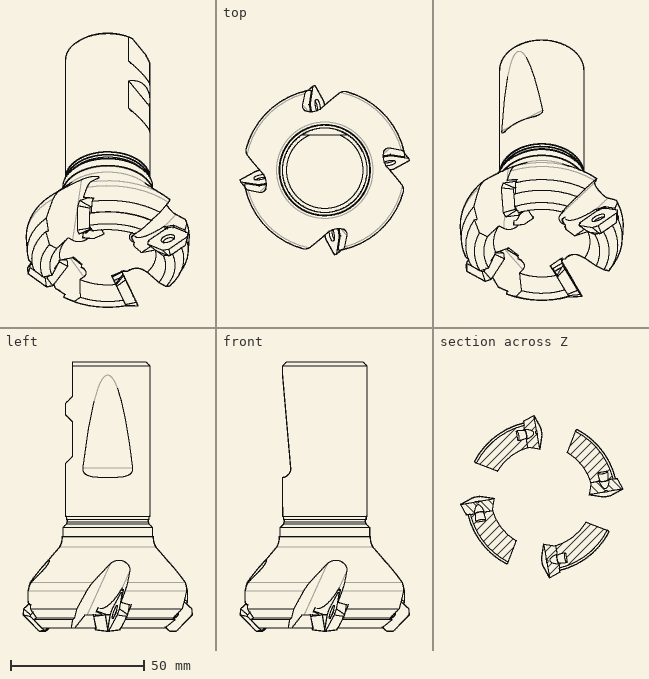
import cadquery as cq
import math

total_height = 101.0
cutter_width = 63.4
tooth_count = 4

shank_r = 15.9
shank_chamfer = 1.5
shank_bottom_z = 43.1
neck_r = 15.5
groove_r = 15.2
groove_top_z = 42.0
groove_bottom_z = 41.0
neck_bottom_z = 40.2
collar_r = 16.9
collar_top_z = neck_bottom_z - (collar_r - neck_r)
collar_bottom_z = 35.5
root_r = 34.2 / 2
root_top_z = 35.1

root_mid = (17.4, 33.3)
cone_top = (18.1, 31.6)
cone_bottom = (29.7, 18.3)
shoulder_mid = (30.3, 16.8)
head_shoulder = (30.6, 15.1)
head_lower = (30.2, 8.5)
skirt_top = (27.5, 5.0)
skirt_ledge = (28.5, 4.4)
base = (25.2, 1.2)

recess_mouth_r = 21.7
recess_roof_r = 18.1
recess_roof_z = 6.3

flat_y = 13.2
upper_flat_edge_z = 85.4
lower_flat_top_z = 81.2
lower_flat_bottom_z = 62.9
notch_angle = 5.0
notch_top_z = 96.0
notch_length = 34.9
notch_end_r = 3.2

insert_side = 12.7
insert_facet = 2.4
insert_thickness = 4.0
insert_clearance = 27.0
insert_hole_d = 4.1
insert_sink_d = 5.2
insert_sink_angle = 60.0
screw_hole_d = 3.5
screw_hole_depth = 3.0
radial_rake = 10.0
axial_rake = 20.0
insert_center_y = 2.6
pocket_gap = 0.8

relief_gap = 2.0
relief_width = 9.1
relief_length_up = 5.0
relief_length_down = 10.1
relief_front = 4.5

gullet_r = 4.0
gullet_flare = 30.0
gullet_slope = 0.5
gullet_start = (26.2, 26.2)
gullet_run_up = 15.1
gullet_run_down = 35.3
gullet_reach = 25.2

radial_tan = math.tan(math.radians(radial_rake))
axial_tan = math.tan(math.radians(axial_rake))
rake_normal = cq.Vector(radial_tan, -1, axial_tan).normalized()
rake_radial = cq.Vector(1, radial_tan, 0).normalized()
insert_reach = insert_side / math.sqrt(2) - insert_facet / 2
rake_upward = rake_radial.cross(rake_normal)
rake_upward = rake_upward if rake_upward.z > 0 else -rake_upward
insert_center = cq.Vector(
    cutter_width / 2 - insert_reach * rake_radial.x - insert_facet / 2 * abs(rake_upward.x),
    insert_center_y,
    insert_reach * rake_upward.z,
)
rake_plane = cq.Plane(insert_center, rake_radial, -rake_normal)
insert_plane = rake_plane.rotated((0, 0, 45))


def around_axis(shape):
    """One separate copy of the shape for each tooth."""
    return [shape.rotate((0, 0, 0), (0, 0, 1), i * 360 / tooth_count) for i in range(tooth_count)]


def make_blank():
    outline = (
        cq.Workplane("XZ")
        .moveTo(0, base[1])
        .lineTo(*base)
        .lineTo(*skirt_ledge)
        .lineTo(*skirt_top)
        .lineTo(*head_lower)
        .lineTo(*head_shoulder)
        .threePointArc(shoulder_mid, cone_bottom)
        .lineTo(*cone_top)
        .threePointArc(root_mid, (root_r, root_top_z))
        .lineTo(root_r, collar_bottom_z)
        .lineTo(collar_r, collar_bottom_z)
        .lineTo(collar_r, collar_top_z)
        .lineTo(neck_r, neck_bottom_z)
        .lineTo(groove_r, groove_bottom_z)
        .lineTo(groove_r, groove_top_z)
        .lineTo(neck_r, groove_top_z)
        .lineTo(neck_r, shank_bottom_z)
        .lineTo(shank_r, shank_bottom_z)
        .lineTo(shank_r, total_height - shank_chamfer)
        .lineTo(shank_r - shank_chamfer, total_height)
        .lineTo(0, total_height)
        .close()
    )
    return outline.revolve(360, (0, 0, 0), (0, 1, 0))


def make_recess():
    return (
        cq.Workplane("XZ")
        .moveTo(0, base[1])
        .lineTo(recess_mouth_r, base[1])
        .lineTo(recess_roof_r, recess_roof_z)
        .lineTo(0, recess_roof_z)
        .close()
        .revolve(360, (0, 0, 0), (0, 1, 0))
    )


def make_side_flats():
    """Two flats on the +Y side of the shank, with 45 degree ramps at their ends."""
    depth = shank_r - flat_y
    upper = [
        (flat_y, total_height),
        (flat_y, upper_flat_edge_z + depth),
        (shank_r, upper_flat_edge_z),
        (shank_r, total_height),
    ]
    lower = [
        (shank_r, lower_flat_top_z),
        (flat_y, lower_flat_top_z - depth),
        (flat_y, lower_flat_bottom_z + depth),
        (shank_r, lower_flat_bottom_z),
    ]
    cutters = cq.Workplane("YZ")
    for points in (upper, lower):
        cutters = cutters.add(cq.Workplane("YZ").polyline(points).close().extrude(shank_r, both=True))
    return cutters


def make_tilted_notch():
    """Sloping flat on the -X side of the shank that ends in a concave rounding."""
    plane = cq.Plane((-shank_r, 0, notch_top_z), (1, 0, 0), (0, -1, 0)).rotated((0, 0, notch_angle))
    return (
        cq.Workplane(plane)
        .lineTo(0, -notch_length)
        .radiusArc((-notch_end_r, -notch_length - notch_end_r), notch_end_r)
        .lineTo(-2 * notch_end_r, -notch_length - notch_end_r)
        .lineTo(-2 * notch_end_r, 0)
        .close()
        .extrude(shank_r, both=True)
    )


def make_gullet():
    """V groove with a round bottom; one wall lies in the rake face."""
    start_r, start_z = gullet_start
    start_y = (
        insert_center.y
        + (start_r - insert_center.x) * radial_tan
        + (start_z - insert_center.z) * axial_tan
    )
    run = cq.Vector(gullet_slope, gullet_slope * radial_tan + axial_tan, 1).normalized()
    outward = rake_normal.cross(run)
    outward = outward if outward.x > 0 else -outward
    flare = math.radians(gullet_flare)
    bottom = (-gullet_r, -gullet_r)
    tangent_x = -gullet_r * math.sin(flare)
    tangent_y = -gullet_r * (1 + math.cos(flare))
    plane = cq.Plane(cq.Vector(start_r, start_y, start_z) - run * gullet_run_down, outward, run)
    return (
        cq.Workplane(plane)
        .lineTo(gullet_reach, 0)
        .lineTo(gullet_reach, tangent_y - (gullet_reach - tangent_x) * math.tan(flare))
        .lineTo(tangent_x, tangent_y)
        .threePointArc(bottom, (0, 0))
        .close()
        .extrude(gullet_run_down + gullet_run_up)
    )


def insert_sketch(side):
    """Square with cut-off corners."""
    return cq.Sketch().rect(side, side).vertices().chamfer(insert_facet / math.sqrt(2))


def make_insert():
    hole = cq.Workplane(rake_plane).circle(insert_hole_d / 2).extrude(insert_thickness)
    sink_depth = (insert_sink_d - insert_hole_d) / 2 / math.tan(math.radians(insert_sink_angle / 2))
    sink = (
        cq.Workplane(rake_plane)
        .circle(insert_sink_d / 2)
        .extrude(sink_depth, taper=insert_sink_angle / 2)
    )
    blank = (
        cq.Workplane(insert_plane)
        .placeSketch(insert_sketch(insert_side))
        .extrude(insert_thickness, taper=insert_clearance)
    )
    return blank.cut(hole).cut(sink)


def make_screw_hole():
    return cq.Workplane(rake_plane).circle(screw_hole_d / 2).extrude(insert_thickness + screw_hole_depth)


def make_pocket():
    """Straight-walled seat for the insert."""
    sketch = insert_sketch(insert_side + 2 * pocket_gap)
    return cq.Workplane(insert_plane).placeSketch(sketch).extrude(insert_thickness)


def make_relief():
    """Straight cut along the inner upper side of the insert, from the seat into the gullet bottom."""
    wall_offset = insert_side / 2 + relief_gap
    inward_shift = wall_offset - relief_width / 2
    down_shift = (relief_length_down - relief_length_up) / 2
    return (
        cq.Workplane(rake_plane.rotated((0, 0, -45)))
        .workplane(offset=-relief_front)
        .center(-down_shift, -inward_shift)
        .rect(relief_length_up + relief_length_down, relief_width)
        .extrude(relief_front + insert_thickness)
    )


body = make_blank().cut(make_recess()).cut(make_side_flats()).cut(make_tilted_notch())
for feature in (make_gullet(), make_pocket(), make_relief(), make_screw_hole()):
    for cutter in around_axis(feature):
        body = body.cut(cutter)

inserts = around_axis(make_insert())

result = cq.Compound.makeCompound(
    [body.solids().val(), *[insert.solids().val() for insert in inserts]]
)